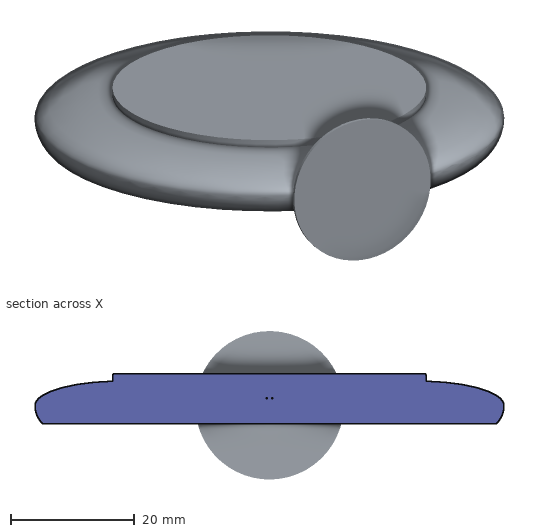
import cadquery as cq
import math

body_radius = 38.0
bottom_radius = 36.7
bottom_depth = 3.05
dome_height = 3.95
dome_flat_radius = 48.25 / 2

plate_diameter = 50.75
plate_top = 5.2

disc_diameter = 24.0
disc_thickness = 0.6


def make_body():
    """Revolve a half section with an elliptical dome and a rounded lower rim."""
    dome_width = body_radius - dome_flat_radius

    inset = body_radius - bottom_radius
    rim_arc_radius = (inset**2 + bottom_depth**2) / (2 * inset)
    half_sweep = math.asin(bottom_depth / rim_arc_radius) / 2
    rim_middle = (
        body_radius - rim_arc_radius * (1 - math.cos(half_sweep)),
        -rim_arc_radius * math.sin(half_sweep),
    )
    return (
        cq.Workplane("XZ")
        .moveTo(0, -bottom_depth)
        .lineTo(bottom_radius, -bottom_depth)
        .threePointArc(rim_middle, (body_radius, 0))
        .ellipseArc(dome_width, dome_height, 0, 90)
        .lineTo(0, dome_height)
        .close()
        .revolve(360, (0, 0, 0), (0, 1, 0))
    )


def make_plate():
    """Plate seated in the dome, so that its whole rim meets the curved surface."""
    return cq.Workplane("XY").circle(plate_diameter / 2).extrude(plate_top)


def make_disc():
    """Upright disc whose outer face is flush with the widest point of the body."""
    return (
        cq.Workplane("YZ", origin=(body_radius - disc_thickness, 0, 0))
        .circle(disc_diameter / 2)
        .extrude(disc_thickness)
    )


result = make_body().union(make_plate()).union(make_disc())